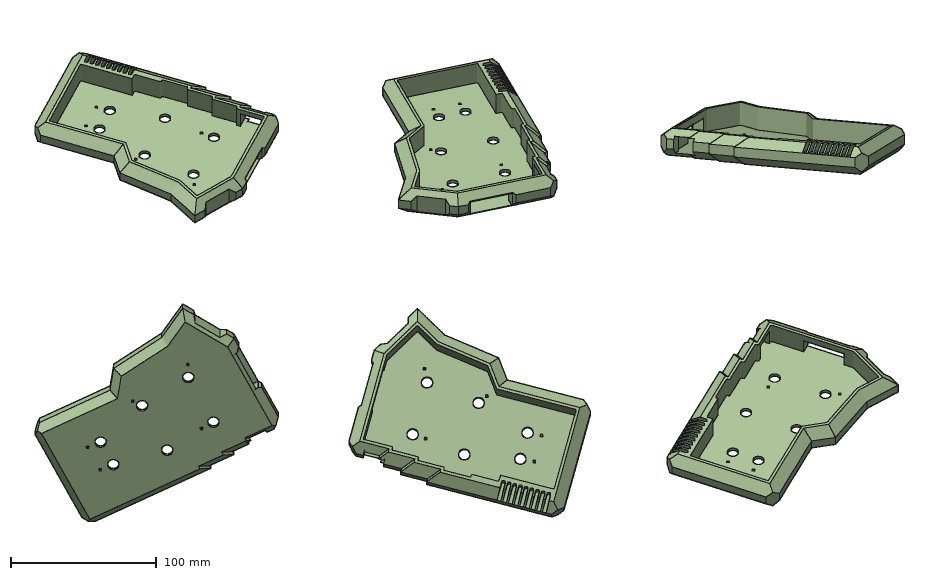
import cadquery as cq
import math

LENGTH = 154.8
BACK_Y = 84.3
HEIGHT = 18.7
BAND_BOTTOM = 5.9
BAND_TOP = 12.8
TOP_BEVEL_INSET = 7.6
BOTTOM_BEVEL_INSET = 5.5
CORNER_CUT = 7.0

STEP_PITCH = 19.0
FIRST_STEP_X = 95.8
STEP_DROPS = (2.2, 2.5, 2.3)
BACK_RIGHT_Y = BACK_Y - sum(STEP_DROPS)

FRONT_EDGE_END = (61.1, 0)
FRONT_KNEE = (70.9, -13.6)
FRONT_BEND = (110.8, -19.7)
RIGHT_SIDE_START = (LENGTH, 3.4)
SLANT_ANGLE = math.radians(60)
SLANT_LENGTH = 42.0
SLANT_DIRECTION = (math.cos(SLANT_ANGLE), math.sin(SLANT_ANGLE))
FRONT_TIP = (
    RIGHT_SIDE_START[0] - SLANT_LENGTH * SLANT_DIRECTION[0],
    RIGHT_SIDE_START[1] - SLANT_LENGTH * SLANT_DIRECTION[1],
)

FLOOR = 2.5
WALL = 9.6
CAVITY_FILLET = 1.0
SLOTTED_PAD_END_X = 47.7
SLOTTED_PAD_DEPTH = 16.2
SHALLOW_PAD_END_X = 67.0
SHALLOW_PAD_DEPTH = 11.8

SLOT_COUNT = 9
SLOT_PITCH = 4.0
SLOT_WIDTH = 2.6
SLOT_LENGTH = 13.2
FIRST_SLOT_X = 12.2
SLOT_END_FILLET = 1.2

SLANT_RECESS_START = 9.0
SLANT_RECESS_LENGTH = 27.0
SLANT_RECESS_DEPTH = 3.4
SIDE_RECESS_START = 7.3
SIDE_RECESS_LENGTH = 34.5
SIDE_RECESS_DEPTH = 1.7

BACK_OPENING_X = (127.5, 142.7)
BACK_OPENING_TOP = 14.5
SIDE_OPENING_Y = (12.8, 43.2)
SIDE_OPENING_TOP = 13.3
OPENING_REACH = WALL + 1.5

SCREW_DIAMETER = 7.7
SCREW_HOLES = (
    (38.7, 49.0), (38.7, 29.9),
    (76.6, 56.0), (76.6, 18.1),
    (114.5, 51.4), (114.5, 13.3),
)
PIN_DIAMETER = 1.9
PIN_HOLES = ((29.0, 48.5), (29.0, 29.2), (105.1, 52.0), (72.5, 12.0), (118.7, 4.3))


def outline(z):
    """Closed plan outline of the band at height z, without the corner cuts."""
    points = [(0, 0), FRONT_EDGE_END, FRONT_KNEE, FRONT_BEND, FRONT_TIP, RIGHT_SIDE_START]
    points.append((LENGTH, BACK_RIGHT_Y))
    level = BACK_RIGHT_Y
    for index in reversed(range(len(STEP_DROPS))):
        step_x = FIRST_STEP_X + index * STEP_PITCH
        points.append((step_x, level))
        level += STEP_DROPS[index]
        points.append((step_x, level))
    points.append((0, BACK_Y))
    return cq.Workplane("XY", origin=(0, 0, z)).polyline(points).close()


def box(x_range, y_range, z_range):
    """Box between a low and a high value on each axis."""
    sizes = [high - low for low, high in (x_range, y_range, z_range)]
    low_corner = (x_range[0], y_range[0], z_range[0])
    return cq.Workplane("XY").box(*sizes, centered=False).translate(low_corner)


def bevel(outer_z, inset_z, inset):
    """Sloped rim between the full outline and the outline moved inward."""
    outer = outline(outer_z).val()
    inner = outline(inset_z).offset2D(-inset, "intersection").val()
    return cq.Workplane(cq.Solid.makeLoft([outer, inner], True))


def bevelled_body():
    band = outline(BAND_BOTTOM).extrude(BAND_TOP - BAND_BOTTOM)
    top = bevel(BAND_TOP, HEIGHT, TOP_BEVEL_INSET)
    bottom = bevel(BAND_BOTTOM, 0, BOTTOM_BEVEL_INSET)
    return band.union(top).union(bottom)


def corner_cutter(x, y):
    """Upright diamond that cuts a plan corner at 45 degrees."""
    points = [(x - CORNER_CUT, y), (x, y - CORNER_CUT), (x + CORNER_CUT, y), (x, y + CORNER_CUT)]
    return cq.Workplane("XY").polyline(points).close().extrude(HEIGHT)


def cavity():
    """Open-topped hollow with rounded upright edges, save the slotted pad's outer corner."""
    hollow_height = HEIGHT - FLOOR
    hollow = outline(FLOOR).offset2D(-WALL, "intersection").extrude(hollow_height)
    pads = (
        (SLOTTED_PAD_END_X, SLOTTED_PAD_DEPTH),
        (SHALLOW_PAD_END_X, SHALLOW_PAD_DEPTH),
    )
    for end_x, depth in pads:
        hollow = hollow.cut(box((0, end_x), (BACK_Y - depth, BACK_Y), (0, HEIGHT)))
    sharp_corner = (SLOTTED_PAD_END_X, BACK_Y - SLOTTED_PAD_DEPTH)
    rounded_edges = hollow.edges("|Z").filter(
        lambda edge: math.dist(edge.Center().toTuple()[:2], sharp_corner) > CAVITY_FILLET
    )
    return rounded_edges.fillet(CAVITY_FILLET)


def grip_slot(center_x):
    slot = box(
        (center_x - SLOT_WIDTH / 2, center_x + SLOT_WIDTH / 2),
        (BACK_Y - SLOT_LENGTH, BACK_Y),
        (BAND_TOP, HEIGHT),
    )
    return slot.edges("|Z and <Y").fillet(SLOT_END_FILLET)


def finger_recess(edge_start, edge_direction, offset, length, depth):
    """Upright trough with 45-degree ends; the body lies to the left of the edge direction."""
    plane = cq.Plane(origin=(*edge_start, 0), xDir=(*edge_direction, 0), normal=(0, 0, 1))
    end = offset + length
    points = [
        (offset - depth, -depth),
        (offset + depth, depth),
        (end - depth, depth),
        (end + depth, -depth),
    ]
    return cq.Workplane(plane).polyline(points).close().extrude(HEIGHT)


def slant_recess():
    return finger_recess(
        FRONT_TIP, SLANT_DIRECTION, SLANT_RECESS_START, SLANT_RECESS_LENGTH, SLANT_RECESS_DEPTH
    )


def side_recess():
    return finger_recess(
        RIGHT_SIDE_START, (0, 1), SIDE_RECESS_START, SIDE_RECESS_LENGTH, SIDE_RECESS_DEPTH
    )


def back_opening():
    return box(BACK_OPENING_X, (BACK_RIGHT_Y - OPENING_REACH, BACK_Y), (FLOOR, BACK_OPENING_TOP))


def side_opening():
    return box((LENGTH - OPENING_REACH, LENGTH), SIDE_OPENING_Y, (FLOOR, SIDE_OPENING_TOP))


def floor_holes(centers, diameter):
    return cq.Workplane("XY").pushPoints(centers).circle(diameter / 2).extrude(FLOOR)


body = bevelled_body()
for corner_x, corner_y in ((0, 0), (0, BACK_Y), (LENGTH, BACK_RIGHT_Y)):
    body = body.cut(corner_cutter(corner_x, corner_y))
body = body.cut(cavity())
for slot_index in range(SLOT_COUNT):
    body = body.cut(grip_slot(FIRST_SLOT_X + slot_index * SLOT_PITCH))
body = body.cut(slant_recess()).cut(side_recess())
body = body.cut(back_opening()).cut(side_opening())
body = body.cut(floor_holes(SCREW_HOLES, SCREW_DIAMETER))
body = body.cut(floor_holes(PIN_HOLES, PIN_DIAMETER))

result = body